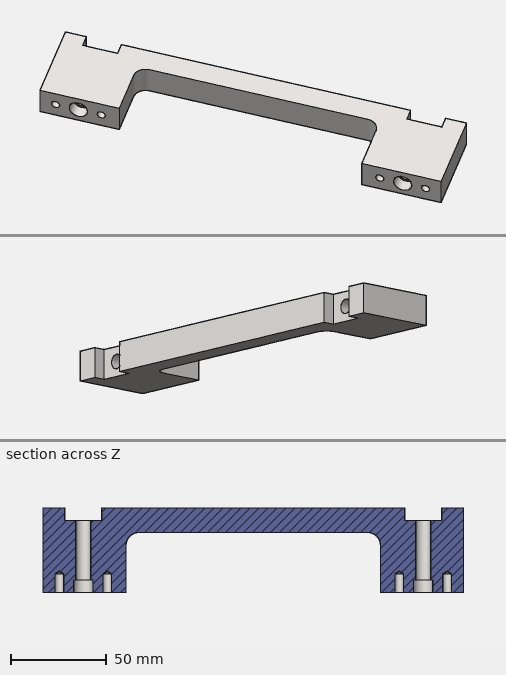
import cadquery as cq
import math

length = 220.2
depth = 44.5
height = 16.0

foot_width = 43.5
bridge_thickness = 13.0
inner_corner_radius = 6.5

notch_width = 19.2
notch_depth = 6.5

hole_inset = 21.1
through_diameter = 7.7
counterbore_diameter = 10.0
counterbore_depth = 6.5
pin_diameter = 4.5
pin_depth = 10.0
pin_offset = 12.5
drill_point_angle = 118.0

front_y = -depth / 2
back_y = depth / 2
hole_x = length / 2 - hole_inset
gap_width = length - 2 * foot_width
gap_depth = depth - bridge_thickness


def front_bore(x, diameter, bore_depth):
    """Cylinder running from the front face toward +Y at mid height."""
    axis = cq.Vector(0, 1, 0)
    start = cq.Vector(x, front_y, 0)
    return cq.Workplane(cq.Solid.makeCylinder(diameter / 2, bore_depth, start, axis))


def pin_hole(x):
    """Blind hole from the front face, ending in a conical drill point."""
    radius = pin_diameter / 2
    point_length = radius / math.tan(math.radians(drill_point_angle / 2))
    start = cq.Vector(x, front_y + pin_depth, 0)
    point = cq.Solid.makeCone(radius, 0, point_length, start, cq.Vector(0, 1, 0))
    return front_bore(x, pin_diameter, pin_depth).union(cq.Workplane(point))


body = cq.Workplane("XY").box(length, depth, height)
gap = (
    cq.Workplane("XY")
    .box(gap_width, gap_depth, height)
    .edges("|Z and >Y")
    .fillet(inner_corner_radius)
    .translate((0, front_y + gap_depth / 2, 0))
)
result = body.cut(gap)

for side in (-1, 1):
    x = side * hole_x
    notch = cq.Workplane("XY").box(notch_width, notch_depth, height)
    result = result.cut(notch.translate((x, back_y - notch_depth / 2, 0)))
    result = result.cut(front_bore(x, through_diameter, depth))
    result = result.cut(front_bore(x, counterbore_diameter, counterbore_depth))
    for pin_side in (-1, 1):
        result = result.cut(pin_hole(x + pin_side * pin_offset))